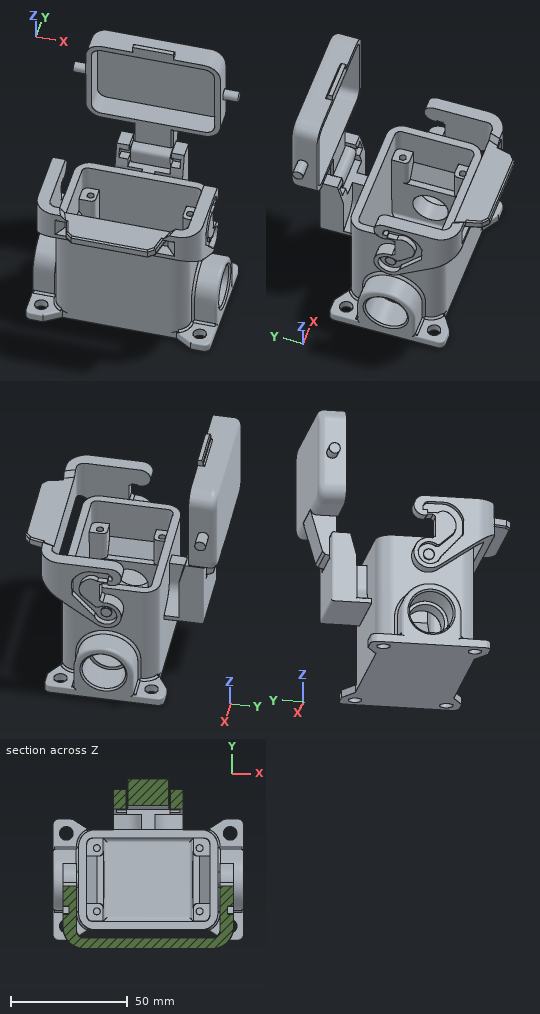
import cadquery as cq
import math

overlap = 1.1
beyond = 226.0

body_length, body_width, body_height = 59.8, 42.9, 52.9
body_corner_radius = 7.1

mouth_length, mouth_width, mouth_corner_radius = 52.9, 35.7, 2.6
draft_line_z, draft_angle = 46.9, 0.5
post_top_z = 40.9
well_length = 38.6
floor_thickness, floor_fillet = 4.0, 1.6

post_edge_y, post_corner_radius = 10.2, 2.0
post_hole_x, post_hole_y = 22.0, 13.6
post_hole_diameter, post_hole_depth = 2.9, 9.0
pocket_shelf_x, pocket_shelf_z, pocket_slope_top_z = 22.0, 27.1, 33.9

flange_length, flange_width, flange_thickness = 82.0, 52.4, 3.8
flange_corner_radius, flange_edge_radius = 2.8, 0.8
ear_outer_x, ear_root_x = 32.8, 25.3
mount_hole_x, mount_hole_y, mount_hole_diameter = 35.1, 19.9, 5.6

entry_z, entry_radius, entry_end_fillet = 14.9, 13.1, 1.4
entry_foot = 1.1
bore_radius, thread_radius, thread_chamfer, thread_inner_x = 8.0, 9.5, 0.8, 27.6

base_bevel, base_bevel_start_x, bevel_angle = 0.9, 26.0, 45.0

cover_front_y, cover_depth = 34.9, 12.2
cover_bottom_z, cover_top_z, cover_back_radius = 67.5, 110.1, 3.0
cover_recess_length, cover_recess_height = 54.7, 37.6
cover_recess_depth, cover_recess_radius = 10.1, 4.5
latch_pin_span, latch_pin_radius = 73.2, 2.4
latch_pin_y, latch_pin_z = 41.4, 88.5
tab_half_width, tab_top_z, tab_thickness = 9.0, 113.0, 2.5
tab_foot, tab_bevel = 0.7, 0.6

arm_half_width, slot_half_width, arm_edge_chamfer = 8.8, 9.4, 0.9
knuckle_front_y, knuckle_top_z, knuckle_radius, knuckle_undercut = 30.2, 56.7, 2.7, 0.9
arm_foot_y, arm_heel_y, arm_heel_z, arm_heel_bevel = 33.9, 40.7, 50.0, 1.1
hinge_pin_y, hinge_pin_z, hinge_pin_radius, hinge_pin_inset = 34.6, 52.7, 1.7, 0.6
bracket_half_width, bracket_bottom_z, bracket_top_z = 15.0, 26.7, 58.1
bracket_back_y, bracket_back_radius = 38.9, 0.9
bracket_front_y, bracket_front_top_y, bracket_shelf_z = 27.9, 30.6, 47.9
notch_x, notch_back_y, notch_low_z, notch_high_z = 13.6, 32.8, 51.4, 55.6
web_half_width, web_flare_z = 2.8, 38.5
web_flare_radius, web_slope, web_plate_thickness = 8.1, 17.0, 2.0

lever_length, lever_thickness, lever_corner_radius = 73.2, 5.9, 9.3
lever_front_y, lever_front_thickness = -29.6, 4.6
lever_top_z, lever_front_low_z = 69.4, 55.6
pivot_z, pivot_radius, pivot_spacer_radius = 43.4, 6.9, 3.4
hook_radius, hook_y = 4.5, 2.4
throat_y, throat_z, throat_low_z, throat_bevel = -2.6, 60.9, 51.3, 1.1
throat_step_y, throat_step_width, eye_end_angle = 0.9, 0.6, 100.0
lever_recess_depth, pivot_ring_radius, pivot_pin_radius = 2.6, 5.0, 2.4
pivot_pin_sink = 1.8

grip_tip_y, grip_top_z, grip_bottom_z = -38.8, 67.1, 62.8
grip_root_half, grip_shoulder_half, grip_tip_half = 22.6, 19.8, 17.0
grip_shoulder_y, grip_edge = -36.4, 0.7
saddle_half, saddle_slope, saddle_flare = 21.8, 2.3, 1.7
window_half, window_low_z, window_high_z = 26.4, 57.6, 66.0
window_depth, window_side_slope, window_floor_slope = 2.8, 3.6, 2.4


def both_ends(shape):
    """The shape together with its mirror image across the YZ plane."""
    return shape.union(shape.mirror("YZ"))


def rounded_block(length, width, z_low, z_high, radius):
    """Upright block centred on the Z axis with rounded vertical edges."""
    block = cq.Workplane("XY").workplane(offset=z_low).rect(length, width).extrude(z_high - z_low)
    return block.edges("|Z").fillet(radius)


def x_prism(sketch, half_width):
    """Extrude a YZ sketch equally to both sides of the YZ plane."""
    return sketch.extrude(half_width, both=True)


def make_flange():
    ear_y = flange_width / 2
    end_x = flange_length / 2
    quarter = [(ear_root_x, body_width / 2), (ear_outer_x, ear_y), (end_x, ear_y)]
    right = quarter + [(x, -y) for x, y in reversed(quarter)]
    left = [(-x, -y) for x, y in right]
    plate = cq.Workplane("XY").polyline(right + left).close().extrude(flange_thickness)
    corners = plate.edges("|Z").edges(">X or <X")
    plate = corners.fillet(flange_corner_radius)
    return plate.faces(">Z").edges().fillet(flange_edge_radius)


def entry_outline(start_x, radius):
    """Arch-topped outline of a cable entry, standing on the base plane."""
    return (
        cq.Workplane("YZ", origin=(start_x, 0, 0))
        .moveTo(-radius, 0)
        .lineTo(-radius, entry_z)
        .threePointArc((0, entry_z + radius), (radius, entry_z))
        .lineTo(radius, 0)
        .close()
    )


def make_entry():
    wall_x = body_length / 2
    inner_x = well_length / 2 + overlap
    tube = entry_outline(inner_x, entry_radius).extrude(flange_length / 2 - inner_x)
    tube = tube.faces(">X").edges("not <Z").fillet(entry_end_fillet)
    foot = entry_outline(wall_x, entry_radius + entry_foot).extrude(entry_foot, taper=bevel_angle)
    ground = cq.Workplane("XY").box(beyond, beyond, beyond, centered=(True, True, False))
    return tube.union(foot.intersect(ground))


def make_base_bevels():
    """Sloped feet around the body corners and along the sides of the entries."""
    level = cq.Workplane("XY", origin=(0, 0, flange_thickness))
    foot_length = body_length + 2 * base_bevel
    foot_width = body_width + 2 * base_bevel
    foot_outline = cq.Sketch().rect(foot_length, foot_width)
    foot_outline = foot_outline.vertices().fillet(body_corner_radius + base_bevel)
    body_foot = level.placeSketch(foot_outline).extrude(base_bevel, taper=bevel_angle)

    entry_side = [
        (-entry_radius - base_bevel, 0),
        (entry_radius + base_bevel, 0),
        (entry_radius, base_bevel),
        (-entry_radius, base_bevel),
    ]
    entry_end_x = flange_length / 2 - flange_edge_radius
    entry_foot_bar = cq.Workplane("YZ", origin=(base_bevel_start_x, 0, flange_thickness))
    entry_foot_bar = entry_foot_bar.polyline(entry_side).close().extrude(entry_end_x - base_bevel_start_x)

    ear_zone = level.center(base_bevel_start_x, 0).box(beyond, beyond, beyond, centered=(False, True, True))
    corners = body_foot.intersect(both_ends(ear_zone))
    return corners.union(both_ends(entry_foot_bar))


def make_entry_bore():
    end_x = flange_length / 2
    axis_start = cq.Workplane("YZ").center(0, entry_z)
    bore = axis_start.circle(bore_radius).extrude(end_x)
    thread = axis_start.workplane(offset=thread_inner_x).circle(thread_radius)
    thread = thread.extrude(end_x - thread_inner_x)
    mouth_plane = axis_start.workplane(offset=end_x)
    mouth = mouth_plane.circle(thread_radius + thread_chamfer).extrude(-thread_chamfer, taper=bevel_angle)
    return bore.union(thread).union(mouth)


def make_cavity():
    mouth = rounded_block(mouth_length, mouth_width, draft_line_z, body_height, mouth_corner_radius)
    drafted_depth = draft_line_z - post_top_z
    mouth_shrink = drafted_depth * math.tan(math.radians(draft_angle))
    mouth_outline = cq.Sketch().rect(mouth_length, mouth_width).vertices().fillet(mouth_corner_radius)
    mouth_floor = cq.Workplane("XY", origin=(0, 0, draft_line_z)).placeSketch(mouth_outline)
    drafted = mouth_floor.extrude(-drafted_depth, taper=draft_angle)

    well_width = mouth_width - 2 * mouth_shrink
    well = (
        cq.Workplane("XY", origin=(0, 0, post_top_z))
        .rect(well_length, well_width)
        .extrude(floor_thickness - post_top_z, taper=draft_angle)
    )
    well = well.faces("<Z").edges().fillet(floor_fillet)
    pocket_outer_x = mouth_length / 2 - mouth_shrink
    pocket_profile = [
        (0, post_top_z),
        (pocket_outer_x, post_top_z),
        (pocket_outer_x, pocket_slope_top_z),
        (pocket_shelf_x, pocket_shelf_z),
        (0, pocket_shelf_z),
    ]
    pocket = cq.Workplane("XZ").polyline(pocket_profile).close().extrude(post_edge_y, both=True)
    lower = well.union(both_ends(pocket))
    margin = 0.6
    post_corners = cq.selectors.BoxSelector(
        (-well_length / 2 - margin, -post_edge_y - margin, pocket_shelf_z + margin),
        (well_length / 2 + margin, post_edge_y + margin, post_top_z - margin),
    )
    lower = lower.edges(post_corners).fillet(post_corner_radius)
    return mouth.union(drafted).union(lower)


def make_housing():
    body = rounded_block(body_length, body_width, 0, body_height, body_corner_radius)
    housing = body.union(make_flange()).union(both_ends(make_entry()))
    housing = housing.union(make_base_bevels())
    housing = housing.cut(make_cavity()).cut(both_ends(make_entry_bore()))
    mount_holes = (
        cq.Workplane("XY")
        .rect(2 * mount_hole_x, 2 * mount_hole_y, forConstruction=True)
        .vertices()
        .circle(mount_hole_diameter / 2)
        .extrude(flange_thickness)
    )
    post_holes = (
        cq.Workplane("XY", origin=(0, 0, post_top_z))
        .rect(2 * post_hole_x, 2 * post_hole_y, forConstruction=True)
        .vertices()
        .circle(post_hole_diameter / 2)
        .extrude(-post_hole_depth)
    )
    return housing.cut(mount_holes).cut(post_holes)


def make_web():
    """Rib between body and bracket whose foot flares out onto a thin plate."""
    slope = math.radians(web_slope)
    mid_angle = (math.pi / 2 - slope) / 2
    start_y = body_width / 2 - overlap
    arc_x = web_half_width + web_flare_radius

    def flare_point(angle):
        return (
            arc_x - web_flare_radius * math.cos(angle),
            web_flare_z - web_flare_radius * math.sin(angle),
        )

    half = (
        cq.Workplane("XZ", origin=(0, start_y, 0))
        .moveTo(0, bracket_bottom_z)
        .lineTo(0, bracket_shelf_z)
        .lineTo(web_half_width, bracket_shelf_z)
        .lineTo(web_half_width, web_flare_z)
        .threePointArc(flare_point(mid_angle), flare_point(math.pi / 2 - slope))
        .lineTo(bracket_half_width, bracket_bottom_z + web_plate_thickness)
        .lineTo(bracket_half_width, bracket_bottom_z)
        .close()
        .extrude(start_y - bracket_front_y)
    )
    return both_ends(half)


def make_bracket():
    profile = [
        (bracket_front_y, bracket_bottom_z),
        (bracket_back_y, bracket_bottom_z),
        (bracket_back_y, bracket_top_z),
        (bracket_front_top_y, bracket_top_z),
        (bracket_front_y, bracket_shelf_z),
    ]
    block = x_prism(cq.Workplane("YZ").polyline(profile).close(), bracket_half_width)
    block = block.faces(">Y").edges().fillet(bracket_back_radius)
    slot_height = bracket_top_z - bracket_shelf_z
    slot = cq.Workplane("XY", origin=(0, bracket_back_y, bracket_shelf_z)).box(
        2 * slot_half_width, beyond, slot_height, centered=(True, True, False)
    )
    notch_front_y = bracket_front_y - overlap
    notches = cq.Workplane("XY", origin=(0, notch_front_y, notch_low_z)).box(
        2 * notch_x, notch_back_y - notch_front_y, notch_high_z - notch_low_z, centered=(True, False, False)
    )
    return block.cut(slot).cut(notches).union(make_web())


def make_cover_arm():
    """Hinge arm hanging from the cover, ending in a rounded knuckle."""
    front = cover_front_y
    root_z = cover_bottom_z + 2 * overlap
    knuckle_mid_y = knuckle_front_y + knuckle_radius
    knuckle_mid_z = knuckle_top_z - knuckle_radius
    diagonal = knuckle_radius * math.sqrt(0.5)
    sketch = (
        cq.Workplane("YZ")
        .moveTo(front, root_z)
        .lineTo(front, knuckle_top_z)
        .lineTo(knuckle_mid_y, knuckle_top_z)
        .threePointArc(
            (knuckle_mid_y - diagonal, knuckle_mid_z + diagonal),
            (knuckle_front_y, knuckle_mid_z),
        )
        .lineTo(knuckle_front_y + knuckle_undercut, bracket_shelf_z)
        .lineTo(arm_foot_y, bracket_shelf_z)
        .lineTo(arm_heel_y, arm_heel_z)
        .lineTo(arm_heel_y + arm_heel_bevel, arm_heel_z + arm_heel_bevel)
        .lineTo(front + cover_depth, root_z)
        .close()
    )
    arm = x_prism(sketch, arm_half_width)
    return arm.edges("|Z").edges("<Y").chamfer(arm_edge_chamfer)


def make_cover():
    height = cover_top_z - cover_bottom_z
    mid_z = cover_bottom_z + height / 2
    face_plane = cq.Workplane("XZ", origin=(0, cover_front_y, mid_z))
    shell = face_plane.rect(body_length, height).extrude(-cover_depth)
    shell = shell.edges("|Y").fillet(body_corner_radius)
    shell = shell.faces(">Y").edges().fillet(cover_back_radius)

    recess = face_plane.rect(cover_recess_length, cover_recess_height).extrude(-cover_recess_depth)
    recess = recess.edges("|Y").fillet(cover_recess_radius)

    tab_back_y = cover_front_y + tab_thickness
    tab_sketch = (
        cq.Workplane("YZ")
        .moveTo(cover_front_y, cover_top_z - overlap)
        .lineTo(cover_front_y, tab_top_z)
        .lineTo(tab_back_y - tab_bevel, tab_top_z)
        .lineTo(tab_back_y, tab_top_z - tab_bevel)
        .lineTo(tab_back_y, cover_top_z + tab_foot)
        .lineTo(tab_back_y + tab_foot, cover_top_z)
        .lineTo(tab_back_y + tab_foot, cover_top_z - overlap)
        .close()
    )
    tab = x_prism(tab_sketch, tab_half_width)

    pin_plane = cq.Workplane("YZ").center(latch_pin_y, latch_pin_z)
    pins = pin_plane.circle(latch_pin_radius).extrude(latch_pin_span / 2, both=True)

    cover = shell.union(pins).union(tab).union(make_cover_arm())
    return cover.cut(recess)


def make_hinge_pin():
    plane = cq.Workplane("YZ").center(hinge_pin_y, hinge_pin_z)
    return plane.circle(hinge_pin_radius).extrude(bracket_half_width - hinge_pin_inset, both=True)


def make_lever_plan():
    """U-shaped bar, as seen along Z, extruded over the full lever height."""
    height = lever_top_z
    back_y = hook_y + hook_radius
    inner_length = lever_length - 2 * lever_thickness
    inner_radius = lever_corner_radius - lever_thickness

    def slab(length, front_y, radius):
        block = cq.Workplane("XY", origin=(0, front_y, 0)).box(
            length, back_y - front_y + overlap, height, centered=(True, False, False)
        )
        return block.edges("|Z and <Y").fillet(radius)

    outer = slab(lever_length, lever_front_y, lever_corner_radius)
    inner = slab(inner_length, lever_front_y + lever_front_thickness, inner_radius)
    return outer.cut(inner)


def make_lever_profile():
    """Side silhouette of the lever: pivot eye, sloping underside and hook."""
    corner_distance = math.hypot(lever_front_y, lever_front_low_z - pivot_z)
    corner_angle = math.atan2(lever_front_low_z - pivot_z, lever_front_y)
    tangent_angle = corner_angle + math.acos(pivot_radius / corner_distance)
    throat_angle = math.radians(eye_end_angle)
    hook_z = lever_top_z - hook_radius

    def on_pivot(angle):
        return (pivot_radius * math.cos(angle), pivot_z + pivot_radius * math.sin(angle))

    sketch = (
        cq.Workplane("YZ")
        .moveTo(lever_front_y, lever_top_z)
        .lineTo(lever_front_y, lever_front_low_z)
        .lineTo(*on_pivot(tangent_angle))
        .threePointArc(on_pivot(0), on_pivot(throat_angle))
        .lineTo(throat_y, throat_low_z)
        .lineTo(throat_y, throat_z - throat_bevel)
        .lineTo(throat_y + throat_bevel, throat_z)
        .lineTo(throat_step_y, throat_z)
        .lineTo(throat_step_y + throat_step_width, hook_z - hook_radius)
        .lineTo(hook_y, hook_z - hook_radius)
        .threePointArc((hook_y + hook_radius, hook_z), (hook_y, lever_top_z))
        .close()
    )
    return x_prism(sketch, lever_length)


def make_lever_recess():
    """Curved recess in the lever's outer side, running from hook to pivot eye."""
    floor_x = lever_length / 2 - lever_recess_depth
    plane = cq.Workplane("YZ", origin=(floor_x, 0, 0))
    track = (
        plane.moveTo(2.8, 62.9)
        .threePointArc((2.5, 65.3), (0.7, 66.7))
        .lineTo(-7.1, 66.7)
        .threePointArc((-12.0, 64.1), (-14.8, 59.1))
        .lineTo(-14.6, 52.7)
        .lineTo(-4.9, 41.9)
        .lineTo(0, pivot_z)
        .lineTo(-2.9, 47.3)
        .lineTo(-4.3, 47.3)
        .lineTo(-10.6, 53.0)
        .threePointArc((-11.4, 57.2), (-8.9, 61.4))
        .threePointArc((-5.9, 62.6), (-3.5, 61.7))
        .lineTo(0.9, 61.7)
        .lineTo(0.9, 62.9)
        .close()
        .extrude(lever_recess_depth)
    )
    ring_plane = plane.center(0, pivot_z)
    ring = ring_plane.circle(pivot_ring_radius).extrude(lever_recess_depth)
    pin = ring_plane.circle(pivot_pin_radius).extrude(lever_recess_depth - pivot_pin_sink)
    return track.union(ring).cut(pin)


def make_grip():
    """Thumb grip standing out from the front wall of the lever."""
    root_y = lever_front_y + lever_front_thickness
    half = [
        (grip_root_half, root_y),
        (grip_shoulder_half, grip_shoulder_y),
        (grip_tip_half, grip_tip_y),
    ]
    outline = half + [(-x, y) for x, y in reversed(half)]
    height = grip_top_z - grip_bottom_z
    grip = cq.Workplane("XY", origin=(0, 0, grip_bottom_z)).polyline(outline).close().extrude(height)
    return grip.edges("#Z").edges("not >Y").chamfer(grip_edge)


def make_saddle():
    """Dip in the lever's top edge that drops to the grip's upper face."""
    plane = cq.Workplane("XZ", origin=(0, lever_front_y, 0))

    def outline(work, bottom_half):
        top_half = bottom_half + saddle_slope
        points = [
            (top_half, lever_top_z),
            (bottom_half, grip_top_z),
            (-bottom_half, grip_top_z),
            (-top_half, lever_top_z),
        ]
        return work.polyline(points).close()

    front = outline(plane, saddle_half)
    saddle = outline(front.workplane(offset=-lever_front_thickness), saddle_half + saddle_flare)
    return saddle.loft(ruled=True)


def make_window():
    """Recess under the grip with sloped floor and sides."""
    height = window_high_z - window_low_z
    inner_half = window_half - window_side_slope
    inner_height = height - window_floor_slope
    return (
        cq.Workplane("XZ", origin=(0, lever_front_y, window_high_z - height / 2))
        .rect(2 * window_half, height)
        .workplane(offset=-window_depth)
        .center(0, window_floor_slope / 2)
        .rect(2 * inner_half, inner_height)
        .loft(ruled=True)
    )


def make_pivot_spacer():
    start_x = body_length / 2 - overlap
    end_x = lever_length / 2 - lever_thickness + overlap
    plane = cq.Workplane("YZ", origin=(start_x, 0, pivot_z))
    return plane.circle(pivot_spacer_radius).extrude(end_x - start_x)


def make_lever():
    lever = make_lever_plan().intersect(make_lever_profile())
    lever = lever.cut(make_window()).cut(make_saddle())
    lever = lever.cut(both_ends(make_lever_recess()))
    return lever.union(make_grip()).union(both_ends(make_pivot_spacer()))


result = make_housing().union(make_bracket())
result = result.union(make_cover()).union(make_hinge_pin())
result = result.union(make_lever())